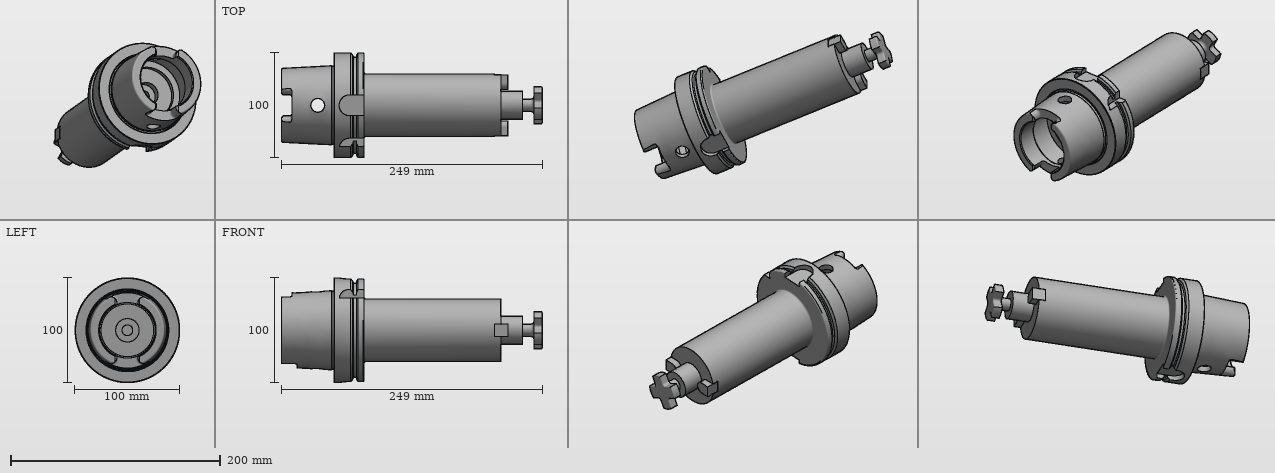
import cadquery as cq

total_length = 249.0

shank_length = 50.0
shank_mouth_radius = 35.4
shank_root_radius = 37.8
shank_mouth_fillet = 1.7
relief_length = 2.5
relief_radius = 37.4
relief_face_radius = 39.5
relief_face_depth = 0.7

bore_diameter = 53.0
bore_mouth_chamfer = 1.0
bore_length = 19.7
clamp_groove_diameter = 63.0
clamp_groove_end = 46.3
cavity_floor_diameter = 50.3
cavity_depth = 51.0
tube_seat_diameter = 22.5
tube_seat_depth = 7.5
coolant_hole_diameter = 10.2
coolant_hole_depth = 15.0

cross_hole_diameter = 13.0
cross_hole_x = 34.5

drive_slot_half_width = 10.0
drive_slot_shoulder_height = 31.9
drive_slot_shoulder_radius = 6.0
drive_slot_floor_fillet = 2.2
drive_slot_mouth_chamfer = 1.7
top_drive_slot_depth = 10.0
bottom_drive_slot_depth = 15.0

flange_diameter = 100.0
flange_width = 29.0
flange_front_chamfer = 0.5
flange_rear_fillet = 1.2
groove_start = 66.0
groove_wall_start = 68.0
groove_floor_start = 68.7
groove_floor_end = 71.7
groove_end = 73.2
groove_floor_radius = 46.0
groove_wall_radius = 48.0

notch_radius = 10.0
notch_start = 55.0
gripper_notch_floor = 44.3
index_notch_floor = 31.0
index_notch_wall = 31.4

neck_diameter = 60.0
neck_root_fillet = 1.5
neck_end = 209.5
spigot_diameter = 27.0
spigot_end = 230.3

key_width = 12.0
key_start = 203.2
key_end = 216.1
key_inner_reach = 15.0
key_outer_reach = 29.1
key_angles = (0, 180)

screw_shaft_diameter = 12.0
screw_socket_depth = 20.0
screw_head_thickness = 8.0
screw_head_radius = 18.0
screw_head_fillet = 3.0
screw_arm_half_width = 6.2
screw_arm_inner_fillet = 2.7
screw_arm_edge_fillet = 1.2
screw_arm_angle = 28.0

flange_end = shank_length + flange_width
flange_radius = flange_diameter / 2
neck_radius = neck_diameter / 2
screw_head_start = total_length - screw_head_thickness


def cylinder_x(diameter, start, end):
    """Cylinder on the X axis between two X positions."""
    return cq.Workplane("YZ", origin=(start, 0, 0)).circle(diameter / 2).extrude(end - start)


def about_x(solid, angle):
    """Turn a solid about the tool axis."""
    return solid.rotate((0, 0, 0), (1, 0, 0), angle)


def turned_body():
    """Outer shape of the holder: shank, grooved flange, neck and spigot."""
    relief_start = shank_length - relief_length
    relief_end = shank_length + relief_face_depth
    relief_drop = shank_root_radius - relief_radius
    profile = (
        cq.Workplane("XY")
        .moveTo(0, 0)
        .lineTo(0, shank_mouth_radius)
        .lineTo(relief_start, shank_root_radius)
        .lineTo(relief_start + relief_drop, relief_radius)
        .lineTo(relief_end, relief_radius)
        .lineTo(relief_end, relief_face_radius - relief_face_depth)
        .lineTo(shank_length, relief_face_radius)
        .lineTo(shank_length, flange_radius - flange_front_chamfer)
        .lineTo(shank_length + flange_front_chamfer, flange_radius)
        .lineTo(groove_start, flange_radius)
        .lineTo(groove_wall_start, groove_wall_radius)
        .lineTo(groove_floor_start, groove_floor_radius)
        .lineTo(groove_floor_end, groove_floor_radius)
        .lineTo(groove_floor_end, groove_wall_radius)
        .lineTo(groove_end, flange_radius)
        .lineTo(flange_end - flange_rear_fillet, flange_radius)
        .radiusArc((flange_end, flange_radius - flange_rear_fillet), flange_rear_fillet)
        .lineTo(flange_end, neck_radius + neck_root_fillet)
        .radiusArc((flange_end + neck_root_fillet, neck_radius), -neck_root_fillet)
        .lineTo(neck_end, neck_radius)
        .lineTo(neck_end, spigot_diameter / 2)
        .lineTo(spigot_end, spigot_diameter / 2)
        .lineTo(spigot_end, 0)
        .close()
    )
    body = profile.revolve(360, (0, 0, 0), (1, 0, 0))
    return body.faces("<X").edges().fillet(shank_mouth_fillet)


def cavity():
    """Stepped hollow of the shank, with its clamping groove and coolant hole."""
    bore_radius = bore_diameter / 2
    groove_radius = clamp_groove_diameter / 2
    floor_radius = cavity_floor_diameter / 2
    tube_seat_end = cavity_depth + tube_seat_depth
    hole_end = cavity_depth + coolant_hole_depth
    profile = (
        cq.Workplane("XY")
        .moveTo(0, 0)
        .lineTo(0, bore_radius + bore_mouth_chamfer)
        .lineTo(bore_mouth_chamfer, bore_radius)
        .lineTo(bore_length, bore_radius)
        .lineTo(bore_length + groove_radius - bore_radius, groove_radius)
        .lineTo(clamp_groove_end, groove_radius)
        .lineTo(clamp_groove_end, floor_radius)
        .lineTo(cavity_depth, floor_radius)
        .lineTo(cavity_depth, tube_seat_diameter / 2)
        .lineTo(tube_seat_end, tube_seat_diameter / 2)
        .lineTo(tube_seat_end, coolant_hole_diameter / 2)
        .lineTo(hole_end, coolant_hole_diameter / 2)
        .lineTo(hole_end, 0)
        .close()
    )
    return profile.revolve(360, (0, 0, 0), (1, 0, 0))


def drive_slot(depth):
    """Cutter for the upper drive slot: a throat that rounds out into a wide shoulder."""
    throat = drive_slot_half_width
    radius = drive_slot_shoulder_radius
    shoulder = drive_slot_shoulder_height
    bend = throat + radius
    outer = bend + radius
    slot = (
        cq.Workplane("YZ")
        .moveTo(-throat, 0)
        .lineTo(-throat, shoulder - radius)
        .radiusArc((-bend, shoulder), -radius)
        .lineTo(-outer, shoulder)
        .lineTo(-outer, flange_radius)
        .lineTo(outer, flange_radius)
        .lineTo(outer, shoulder)
        .lineTo(bend, shoulder)
        .radiusArc((throat, shoulder - radius), -radius)
        .lineTo(throat, 0)
        .close()
        .extrude(depth)
    )
    slot = slot.faces(">X").edges().fillet(drive_slot_floor_fillet)
    chamfer = drive_slot_mouth_chamfer
    mouth = (
        cq.Workplane("XY")
        .moveTo(0, -throat - chamfer)
        .lineTo(chamfer, -throat)
        .lineTo(chamfer, throat)
        .lineTo(0, throat + chamfer)
        .close()
        .extrude(flange_radius)
    )
    return slot.union(mouth)


def rim_notch(floor, center_y):
    """Cutter for a round-ended notch that runs out of the rear of the flange."""
    height = flange_radius - floor
    center_x = notch_start + notch_radius
    base = cq.Workplane("XY", origin=(center_x, center_y, floor))
    length = flange_end - center_x
    round_end = base.circle(notch_radius).extrude(height)
    straight = base.center(length / 2, 0).rect(length, 2 * notch_radius).extrude(height)
    return round_end.union(straight)


def drive_key(angle):
    """Key with a rounded inner end and a flat outer end."""
    center_y = key_inner_reach + key_width / 2
    section = (
        cq.Workplane("YZ", origin=(key_start, 0, 0))
        .moveTo(key_outer_reach, key_width / 2)
        .lineTo(center_y, key_width / 2)
        .threePointArc((key_inner_reach, 0), (center_y, -key_width / 2))
        .lineTo(key_outer_reach, -key_width / 2)
        .close()
    )
    return about_x(section.extrude(key_end - key_start), angle)


def key_seat(angle):
    """Cutter for a key seat: the key's section, open to the outside of the neck."""
    center_y = key_inner_reach + key_width / 2
    depth = neck_end - key_start
    base = cq.Workplane("YZ", origin=(key_start, 0, 0))
    round_end = base.center(center_y, 0).circle(key_width / 2).extrude(depth)
    length = neck_radius - center_y
    straight = base.center(center_y + length / 2, 0).rect(length, key_width).extrude(depth)
    return about_x(round_end.union(straight), angle)


def clamping_screw():
    """Screw shaft with a cross-shaped head."""
    start = spigot_end - screw_socket_depth
    shaft = cylinder_x(screw_shaft_diameter, start, screw_head_start)
    shaft_radius = screw_shaft_diameter / 2
    root = (
        cq.Workplane("XY")
        .moveTo(screw_head_start - screw_head_fillet, 0)
        .lineTo(screw_head_start - screw_head_fillet, shaft_radius)
        .radiusArc((screw_head_start, shaft_radius + screw_head_fillet), -screw_head_fillet)
        .lineTo(screw_head_start, 0)
        .close()
        .revolve(360, (0, 0, 0), (1, 0, 0))
    )
    base = cq.Workplane("YZ", origin=(screw_head_start, 0, 0))
    bar = base.rect(2 * screw_head_radius, 2 * screw_arm_half_width).extrude(screw_head_thickness)
    cross = bar.union(about_x(bar, 90))
    inner_corners = cq.selectors.BoxSelector(
        (screw_head_start, -screw_shaft_diameter, -screw_shaft_diameter),
        (total_length, screw_shaft_diameter, screw_shaft_diameter),
    )
    cross = cross.edges("|X").edges(inner_corners).fillet(screw_arm_inner_fillet)
    cross = cross.intersect(cylinder_x(2 * screw_head_radius, screw_head_start, total_length))
    cross = cross.faces(">X").edges().fillet(screw_arm_edge_fillet)
    return shaft.union(root).union(about_x(cross, screw_arm_angle))


def holder_body():
    """Tool holder with all of its cuts."""
    body = turned_body().cut(cavity())
    body = body.cut(drive_slot(top_drive_slot_depth))
    body = body.cut(about_x(drive_slot(bottom_drive_slot_depth), 180))

    cross_hole = cq.Workplane("XY", origin=(cross_hole_x, 0, 0)).circle(cross_hole_diameter / 2)
    body = body.cut(cross_hole.extrude(shank_root_radius, both=True))

    gripper_notch = rim_notch(gripper_notch_floor, 0)
    body = body.cut(gripper_notch).cut(about_x(gripper_notch, 180))
    body = body.cut(rim_notch(index_notch_floor, -index_notch_wall - notch_radius))

    for angle in key_angles:
        body = body.cut(key_seat(angle))
    socket = cylinder_x(screw_shaft_diameter, spigot_end - screw_socket_depth, spigot_end)
    return body.cut(socket)


holder = holder_body()
drive_keys = [drive_key(angle) for angle in key_angles]
screw = clamping_screw()

result = cq.Compound.makeCompound([holder.val(), *[key.val() for key in drive_keys], screw.val()])